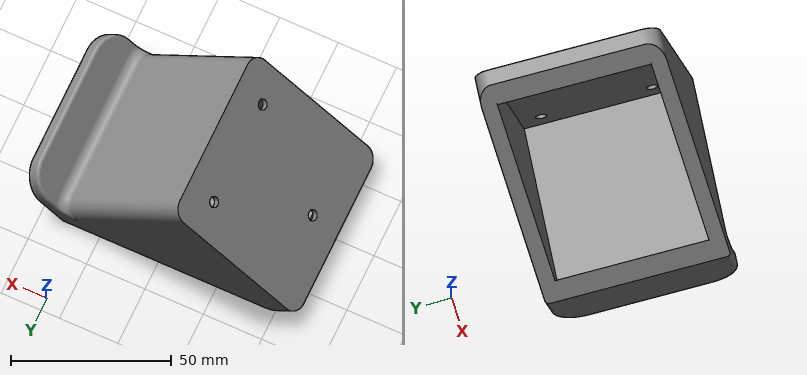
import cadquery as cq
import math

BLOCK_SIZE = 60.0
BLOCK_CORNER_RADIUS = 5.0
TILT_ANGLE = 45

LIP_THICKNESS = 5.0
LIP_PROJECTION = 15.0
LIP_CORNER_RADIUS = 10.0
LIP_EDGE_RADIUS = 1.0
LIP_ROOT_RADIUS = 3.0

WALL_THICKNESS = 5.0
MOUNTING_PLATE_THICKNESS = 2.0

HOLE_DIAMETER = 3.5
HOLE_EDGE_DISTANCE = 12.0
HOLE_HALF_SPACING = 18.0

FOOT_START = 5.0

HALF_WIDTH = BLOCK_SIZE / 2
LIP_TOP = LIP_THICKNESS - BLOCK_SIZE
LIP_END = BLOCK_SIZE + LIP_PROJECTION
SELECTION_MARGIN = 0.1


def make_block():
    """Square prism with four rounded edges."""
    return (
        cq.Workplane("XY")
        .rect(BLOCK_SIZE, BLOCK_SIZE)
        .extrude(-BLOCK_SIZE)
        .edges("|Z")
        .fillet(BLOCK_CORNER_RADIUS)
        .translate((HALF_WIDTH, 0, 0))
    )


def make_lip():
    """Plate starting under the middle of the block, with two rounded outer corners."""
    length = LIP_END - HALF_WIDTH
    return (
        cq.Workplane("XY")
        .box(length, BLOCK_SIZE, LIP_THICKNESS, centered=(False, True, False))
        .edges("|Z and >X")
        .fillet(LIP_CORNER_RADIUS)
        .translate((HALF_WIDTH, 0, -BLOCK_SIZE))
    )


def make_lip_root():
    """Concave fillet around the block's +X corners, trimmed flush with the sides."""
    radius = LIP_ROOT_RADIUS
    tangent = radius * (1 - math.sqrt(0.5))
    corner_x = BLOCK_SIZE - BLOCK_CORNER_RADIUS
    corner_y = HALF_WIDTH - BLOCK_CORNER_RADIUS

    def section(plane, wall):
        return (
            cq.Workplane(plane)
            .moveTo(0, LIP_TOP)
            .lineTo(wall + radius, LIP_TOP)
            .threePointArc((wall + tangent, LIP_TOP + tangent), (wall, LIP_TOP + radius))
            .lineTo(0, LIP_TOP + radius)
            .close()
        )

    root = section("XZ", BLOCK_CORNER_RADIUS).extrude(corner_y, both=True)
    for y in (-corner_y, corner_y):
        corner = section("XZ", BLOCK_CORNER_RADIUS).revolve(360, (0, 0, 0), (0, 1, 0))
        root = root.union(corner.translate((0, y, 0)))
    envelope = cq.Workplane("XY").box(BLOCK_SIZE, BLOCK_SIZE, 4 * BLOCK_SIZE)
    envelope = envelope.translate((HALF_WIDTH, 0, 0))
    return root.intersect(envelope).translate((corner_x, 0, 0))


def make_cavity():
    """Rectangular interior that leaves the thinner plate below the mounting face."""
    side = BLOCK_SIZE - 2 * WALL_THICKNESS
    depth = BLOCK_SIZE - LIP_THICKNESS - MOUNTING_PLATE_THICKNESS
    return (
        cq.Workplane("XY")
        .workplane(offset=-MOUNTING_PLATE_THICKNESS)
        .center(HALF_WIDTH, 0)
        .rect(side, side)
        .extrude(-depth)
    )


def make_screw_holes():
    """One hole near the low side and a pair near the high side of the mounting face."""
    far_x = BLOCK_SIZE - HOLE_EDGE_DISTANCE
    positions = [
        (HOLE_EDGE_DISTANCE, 0),
        (far_x, -HOLE_HALF_SPACING),
        (far_x, HOLE_HALF_SPACING),
    ]
    return (
        cq.Workplane("XY")
        .pushPoints(positions)
        .circle(HOLE_DIAMETER / 2)
        .extrude(-2 * MOUNTING_PLATE_THICKNESS)
    )


def tilt(body):
    """Turn the mounting face up so that it rises toward +X."""
    return body.rotate((0, 0, 0), (0, 1, 0), -TILT_ANGLE)


def cut_foot(body):
    """Trim the tilted body with the horizontal plane it stands on."""
    foot_z = -FOOT_START * math.sin(math.radians(TILT_ANGLE))
    trim_size = 4 * BLOCK_SIZE
    below = cq.Workplane("XY").box(trim_size, trim_size, trim_size)
    return body.cut(below.translate((0, 0, foot_z - trim_size / 2)))


solid_body = make_block().union(make_lip()).union(make_lip_root())

end_edges = cq.selectors.BoxSelector(
    (LIP_END - SELECTION_MARGIN, -SELECTION_MARGIN, -BLOCK_SIZE - SELECTION_MARGIN),
    (LIP_END + SELECTION_MARGIN, SELECTION_MARGIN, LIP_TOP + SELECTION_MARGIN),
)
rounded_body = solid_body.edges("|Y").edges(end_edges).fillet(LIP_EDGE_RADIUS)

hollow_body = rounded_body.cut(make_cavity()).cut(make_screw_holes())
result = cut_foot(tilt(hollow_body))